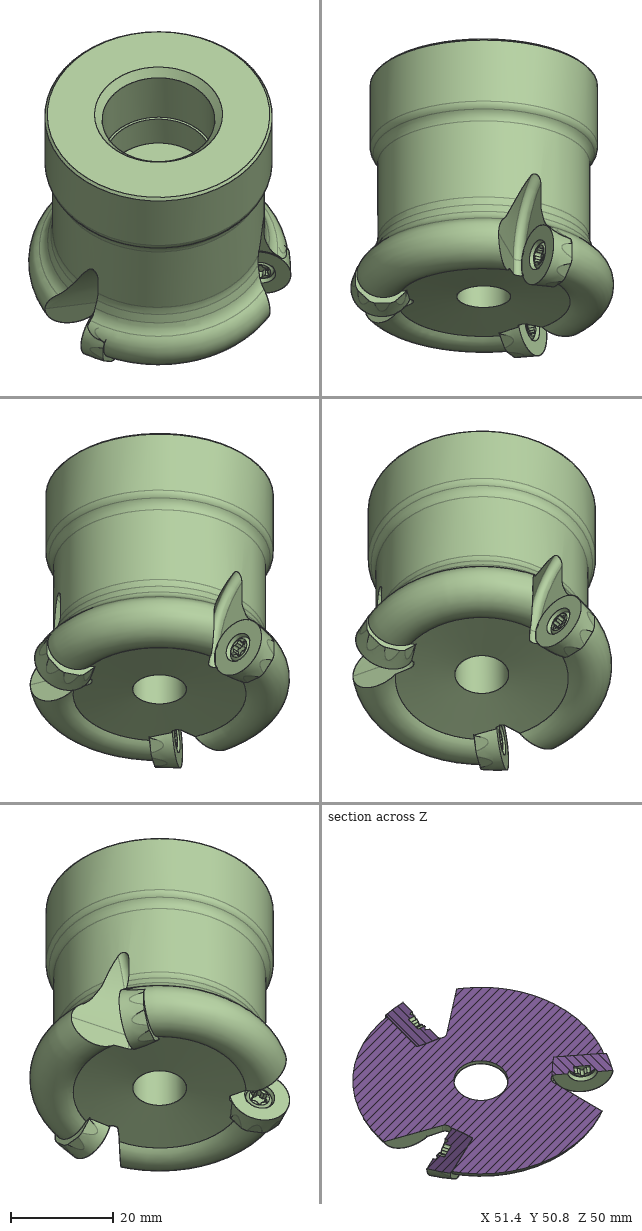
import cadquery as cq
import math


TOOTH_COUNT = 3
FIRST_TOOTH_ANGLE = 60.0

TOP_Z = 50.0
HEAD_RADIUS = 44.48 / 2
HEAD_BOTTOM_Z = 36.5
HEAD_CHAMFER = 0.5
NECK_RADIUS = 41.48 / 2
SHOULDER_ROUND = 2.0
SHOULDER_FILLET = 3.0
NECK_BOTTOM_Z = 16.7
FLARE_TOP_Z = 14.95
FLARE_BOTTOM_Z = 13.2
FLARE_ANGLE = 20.0

RIM_OUTER_RADIUS = 25.39
RIM_ROUND = 5.0
RIM_CENTER_RADIUS = RIM_OUTER_RADIUS - RIM_ROUND
RIM_CENTER_Z = 7.0
RIM_TOP_ANGLE = 54.5
RIM_INNER_ANGLE = 225.7
UNDERSIDE_SLOPE = 5.3

BORE_RADIUS = 22.01 / 2
BORE_CHAMFER = 1.5
BORE_LEDGE_Z = 37.0
LOWER_BORE_RADIUS = 10.5
BORE_FLOOR_Z = 30.0
THROUGH_RADIUS = 10.5 / 2

INSERT_RADIUS = 6.0
INSERT_THICKNESS = 4.76
INSERT_RELIEF = 7.0
INSERT_CENTER_RADIUS = 20.0
INSERT_CENTER_Z = INSERT_RADIUS
FLAT_COUNT = 8
FLAT_BACK_APOTHEM = 5.19
FLAT_RELIEF = 11.6
FLAT_FRONT_APOTHEM = FLAT_BACK_APOTHEM + INSERT_THICKNESS * math.tan(math.radians(FLAT_RELIEF))
SEAT_FLAT_ANGLE = 45.0

COUNTERSINK_RADIUS = 3.0
COUNTERSINK_DEPTH = 0.8
SCREW_HEAD_RADIUS = 5.25 / 2
CROWN_RADIUS = 4.0 / 2
CROWN_HEIGHT = 0.5
SOCKET_RADIUS = 3.5 / 2
SOCKET_LOBES = 6
SOCKET_LOBE_RADIUS = 0.4
SOCKET_DEPTH = 1.8

GULLET_WALL_ANGLE = 45.0
GULLET_FILLET = 1.3
GULLET_CORNER_X = 11.9
GULLET_SETBACK = 0.3
GULLET_CURVE_Z = RIM_CENTER_Z
GULLET_CURVE_AXIS_X = 35.0
GULLET_OUTER_X = 30.0
BELOW_BODY = 1.0

SEAT_REACH = 12.0


def make_turned_body():
    shoulder_angle = math.acos(1 - (HEAD_RADIUS - NECK_RADIUS) / (SHOULDER_ROUND + SHOULDER_FILLET))
    shoulder_mid = (
        HEAD_RADIUS - SHOULDER_ROUND * (1 - math.cos(shoulder_angle)),
        HEAD_BOTTOM_Z - SHOULDER_ROUND * math.sin(shoulder_angle),
    )
    neck_top_z = HEAD_BOTTOM_Z - (SHOULDER_ROUND + SHOULDER_FILLET) * math.sin(shoulder_angle)

    flare = math.radians(FLARE_ANGLE)
    flare_top_radius = NECK_RADIUS + (NECK_BOTTOM_Z - FLARE_TOP_Z) * math.tan(flare / 2)
    flare_bottom_radius = flare_top_radius + (FLARE_TOP_Z - FLARE_BOTTOM_Z) * math.tan(flare)

    def on_rim(angle):
        turn = math.radians(angle)
        return (RIM_CENTER_RADIUS + RIM_ROUND * math.cos(turn), RIM_CENTER_Z + RIM_ROUND * math.sin(turn))

    underside_radius, underside_z = on_rim(RIM_INNER_ANGLE)
    dish = (underside_radius - THROUGH_RADIUS) * math.tan(math.radians(UNDERSIDE_SLOPE))

    return (
        cq.Workplane("XZ")
        .moveTo(BORE_RADIUS + BORE_CHAMFER, TOP_Z)
        .lineTo(HEAD_RADIUS - HEAD_CHAMFER, TOP_Z)
        .lineTo(HEAD_RADIUS, TOP_Z - HEAD_CHAMFER)
        .lineTo(HEAD_RADIUS, HEAD_BOTTOM_Z)
        .tangentArcPoint(shoulder_mid, relative=False)
        .tangentArcPoint((NECK_RADIUS, neck_top_z), relative=False)
        .lineTo(NECK_RADIUS, NECK_BOTTOM_Z)
        .tangentArcPoint((flare_top_radius, FLARE_TOP_Z), relative=False)
        .lineTo(flare_bottom_radius, FLARE_BOTTOM_Z)
        .tangentArcPoint(on_rim(RIM_TOP_ANGLE), relative=False)
        .threePointArc(on_rim(-RIM_TOP_ANGLE), on_rim(RIM_INNER_ANGLE))
        .lineTo(THROUGH_RADIUS, underside_z + dish)
        .lineTo(THROUGH_RADIUS, BORE_FLOOR_Z)
        .lineTo(LOWER_BORE_RADIUS, BORE_FLOOR_Z)
        .lineTo(LOWER_BORE_RADIUS, BORE_LEDGE_Z)
        .lineTo(BORE_RADIUS, BORE_LEDGE_Z)
        .lineTo(BORE_RADIUS, TOP_Z - BORE_CHAMFER)
        .close()
        .revolve(360, (0, 0, 0), (0, 1, 0))
    )




def gullet_outline(z):
    half_angle = math.radians(GULLET_WALL_ANGLE) / 2
    tangent_length = GULLET_FILLET / math.tan(half_angle)
    round_depth = GULLET_FILLET / math.sin(half_angle) - GULLET_FILLET

    def from_corner(length, angle):
        return (GULLET_CORNER_X + length * math.cos(angle), GULLET_SETBACK - length * math.sin(angle))

    wall_length = (GULLET_OUTER_X - GULLET_CORNER_X) / math.cos(2 * half_angle)
    return (
        cq.Workplane("XY", origin=(0, 0, z))
        .moveTo(GULLET_OUTER_X, GULLET_SETBACK)
        .lineTo(*from_corner(tangent_length, 0))
        .threePointArc(from_corner(round_depth, half_angle), from_corner(tangent_length, 2 * half_angle))
        .lineTo(*from_corner(wall_length, 2 * half_angle))
        .close()
    )


def make_gullet():
    upright = gullet_outline(-BELOW_BODY).extrude(GULLET_CURVE_Z + BELOW_BODY)
    axis_start = (GULLET_CURVE_AXIS_X, 0, 0)
    axis_end = (GULLET_CURVE_AXIS_X, 1, 0)
    run_out = gullet_outline(GULLET_CURVE_Z).revolve(90, axis_start, axis_end)
    return upright.union(run_out)


def insert_plane():
    return cq.Workplane("ZX", origin=(INSERT_CENTER_RADIUS, 0, INSERT_CENTER_Z))


def make_insert_blank():
    cone = insert_plane().circle(INSERT_RADIUS).extrude(INSERT_THICKNESS, taper=INSERT_RELIEF)
    flats = (
        insert_plane()
        .polygon(FLAT_COUNT, 2 * FLAT_FRONT_APOTHEM, circumscribed=True)
        .extrude(INSERT_THICKNESS, taper=FLAT_RELIEF)
    )
    return cone.intersect(flats)


def make_countersink():
    """Ring-shaped recess between the countersink wall and the raised crown of the screw head."""
    crown_depth = COUNTERSINK_DEPTH - CROWN_HEIGHT
    return (
        cq.Workplane("XY")
        .polyline([
            (0, 0),
            (COUNTERSINK_RADIUS, 0),
            (SCREW_HEAD_RADIUS, COUNTERSINK_DEPTH),
            (CROWN_RADIUS, crown_depth),
            (0, crown_depth),
        ])
        .close()
        .revolve(360, (0, 0, 0), (0, 1, 0))
        .translate((INSERT_CENTER_RADIUS, 0, INSERT_CENTER_Z))
    )


def make_socket():
    lobe_center_radius = SOCKET_RADIUS - SOCKET_LOBE_RADIUS
    core = insert_plane().circle(lobe_center_radius).extrude(SOCKET_DEPTH)
    lobes = (
        insert_plane()
        .polarArray(lobe_center_radius, 0, 360, SOCKET_LOBES)
        .circle(SOCKET_LOBE_RADIUS)
        .extrude(SOCKET_DEPTH)
    )
    return core.union(lobes)


def make_insert():
    return make_insert_blank().cut(make_countersink()).cut(make_socket())


def make_seat_opening():
    """Clears the rim outside the insert, below the back edge of the flat that bears on the seat."""
    return (
        cq.Workplane("XY")
        .box(FLAT_BACK_APOTHEM, INSERT_THICKNESS, SEAT_REACH, centered=False)
        .translate((0, 0, -SEAT_REACH))
        .rotate((0, 0, 0), (0, 1, 0), -SEAT_FLAT_ANGLE)
        .translate((INSERT_CENTER_RADIUS, 0, INSERT_CENTER_Z))
    )


def at_tooth(shape, index):
    angle = FIRST_TOOTH_ANGLE + index * 360 / TOOTH_COUNT
    return shape.rotate((0, 0, 0), (0, 0, 1), angle)


body = make_turned_body()
tooth_cut = make_gullet().union(make_seat_opening()).union(make_insert_blank())
insert = make_insert()
inserts = []
for tooth in range(TOOTH_COUNT):
    body = body.cut(at_tooth(tooth_cut, tooth))
    inserts.append(at_tooth(insert, tooth))

result = cq.Compound.makeCompound([body.val(), *[one.val() for one in inserts]])